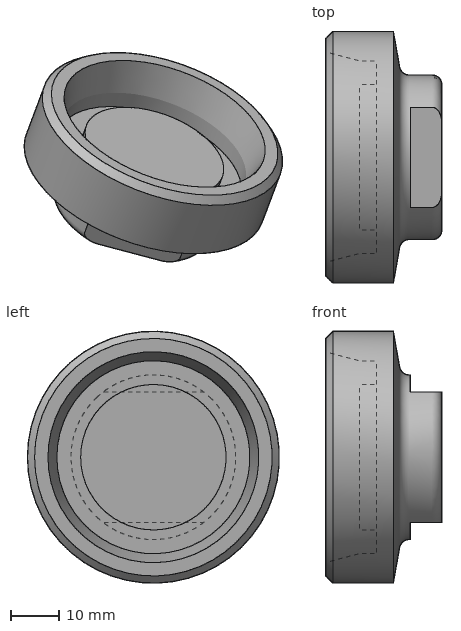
import cadquery as cq
import math

total_length = 24.0
body_diameter = 52.0
rim_chamfer = 1.5
rim_length = 14.0
shoulder_angle = 10.0

neck_diameter = 34.0
neck_root_fillet = 2.0
neck_end_fillet = 2.0
flat_width = 27.0
flat_start = 17.5

mouth_diameter = 43.5
bore_diameter = 39.8
taper_depth = 7.0
pocket_depth = 10.5
pad_diameter = 30.0
pad_face_depth = taper_depth

body_radius = body_diameter / 2
neck_radius = neck_diameter / 2


def make_body():
    """Revolve the solid outline: chamfered rim, sloping shoulder and filleted neck."""
    slope = math.radians(shoulder_angle)
    shoulder_end = rim_length + (body_radius - neck_radius) * math.tan(slope)

    tangent_length = neck_root_fillet * math.tan((math.pi / 2 - slope) / 2)
    root_start = (
        shoulder_end - tangent_length * math.sin(slope),
        neck_radius + tangent_length * math.cos(slope),
    )
    root_end = (shoulder_end + tangent_length, neck_radius)

    profile = (
        cq.Workplane("XY")
        .moveTo(0, 0)
        .lineTo(0, body_radius - rim_chamfer)
        .lineTo(rim_chamfer, body_radius)
        .lineTo(rim_length, body_radius)
        .lineTo(*root_start)
        .radiusArc(root_end, -neck_root_fillet)
        .lineTo(total_length - neck_end_fillet, neck_radius)
        .radiusArc((total_length, neck_radius - neck_end_fillet), neck_end_fillet)
        .lineTo(total_length, 0)
        .close()
    )
    return profile.revolve(360, (0, 0, 0), (1, 0, 0))


def make_pocket():
    """Revolve the cavity that opens at the rim, leaving the pad on its floor."""
    profile = (
        cq.Workplane("XY")
        .moveTo(0, 0)
        .lineTo(0, mouth_diameter / 2)
        .lineTo(taper_depth, bore_diameter / 2)
        .lineTo(pocket_depth, bore_diameter / 2)
        .lineTo(pocket_depth, pad_diameter / 2)
        .lineTo(pad_face_depth, pad_diameter / 2)
        .lineTo(pad_face_depth, 0)
        .close()
    )
    return profile.revolve(360, (0, 0, 0), (1, 0, 0))


def make_flat_cutter(side):
    """Block that trims the neck to a flat above (side = 1) or below (side = -1)."""
    block_height = body_radius - flat_width / 2
    return (
        cq.Workplane("XY")
        .box(total_length - flat_start, body_diameter, block_height, centered=(False, True, True))
        .translate((flat_start, 0, side * (flat_width + block_height) / 2))
    )


result = make_body().cut(make_pocket())
for side in (1, -1):
    result = result.cut(make_flat_cutter(side))